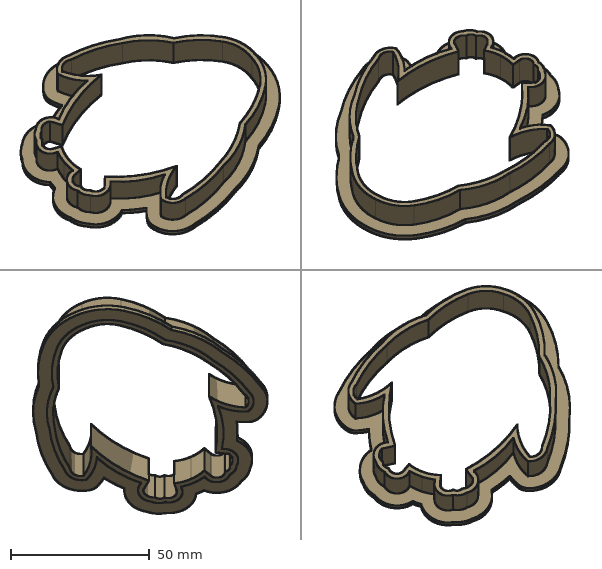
import cadquery as cq

TOTAL_HEIGHT = 12.7
FLANGE_THICKNESS = 2.1
BLADE_WIDTH = 2.1
FLANGE_WIDTH = 5.0

HEAD_TOP = (0, 44.1)
CROWN_MIDDLE = (-7.9, 42.5)
CROWN_END = (-13.2, 39.0)
SHOULDER = (-23.0, 23.7)
WING_UPPER_MIDDLE = (-29.2, 16.9)
WING_UPPER_END = (-33.6, 7.1)
WING_LOWER_MIDDLE = (-36.9, -3.5)
WING_WIDEST = (-37.9, -12.4)
WING_TIP_MIDDLE = (-36.5, -17.9)
WING_BOTTOM = (-33.3, -19.9)
WING_RETURN_MIDDLE = (-28.4, -16.8)
WING_NOTCH = (-24.9, -12.7)
LEG_MIDDLE = (-21.4, -23.1)
ANKLE = (-16.6, -30.7)
OUTER_TOE_MIDDLE = (-19.8, -35.3)
OUTER_TOE_END = (-17.6, -40.1)
CENTER_TOE_MIDDLE = (-15.8, -41.8)
CENTER_TOE_END = (-13.3, -42.7)
INNER_TOE_MIDDLE = (-9.6, -44.1)
CROTCH = (-4.9, -39.2)
BELLY_MIDDLE = (-2.5, -39.6)
BELLY_BOTTOM = (0, -39.8)

INNER_HEAD_TOP = (0, HEAD_TOP[1] - BLADE_WIDTH)
INNER_CROWN_MIDDLE = (-7.0, 40.8)
INNER_CROWN_END = (-12.0, 37.3)
INNER_SHOULDER = (-21.4, 22.3)
INNER_WING_UPPER_MIDDLE = (-27.0, 16.0)
INNER_WING_UPPER_END = (-31.5, 7.1)
INNER_WING_LOWER_MIDDLE = (-34.9, -3.5)
INNER_WING_WIDEST = (WING_WIDEST[0] + BLADE_WIDTH, WING_WIDEST[1])
INNER_WING_TIP_MIDDLE = (-35.3, -16.6)
INNER_WING_BOTTOM = (WING_BOTTOM[0], WING_BOTTOM[1] + BLADE_WIDTH)
INNER_WING_RETURN_MIDDLE = (-28.4, -13.75)
WING_SPIKE = (-24.3, -7.0)
INNER_LEG_MIDDLE = (-20.5, -19.5)
ANKLE_SPIKE = (-13.7, -31.1)
INNER_HEEL = (-17.6, -34.0)
OUTER_TOE_HOLLOW = (-17.9, -35.7)
OUTER_TOE_CUSP = (-15.4, -39.0)
CENTER_TOE_HOLLOW = (-14.1, -40.5)
CENTER_TOE_CUSP = (-12.5, -40.7)
INNER_TOE_HOLLOW = (-9.8, INNER_TOE_MIDDLE[1] + BLADE_WIDTH)
INNER_TOE_HOLLOW_END = (-7.0, -39.6)
CROTCH_SPIKE = (-6.2, -36.5)
INNER_BELLY_MIDDLE = (-3.2, -37.4)
INNER_BELLY_BOTTOM = (0, BELLY_BOTTOM[1] + BLADE_WIDTH)


def penguin_outline():
    """Closed outer outline of the blade, drawn as its left half and mirrored."""
    return (
        cq.Workplane("XY")
        .moveTo(*HEAD_TOP)
        .threePointArc(CROWN_MIDDLE, CROWN_END)
        .tangentArcPoint(SHOULDER, relative=False)
        .threePointArc(WING_UPPER_MIDDLE, WING_UPPER_END)
        .threePointArc(WING_LOWER_MIDDLE, WING_WIDEST)
        .threePointArc(WING_TIP_MIDDLE, WING_BOTTOM)
        .threePointArc(WING_RETURN_MIDDLE, WING_NOTCH)
        .threePointArc(LEG_MIDDLE, ANKLE)
        .threePointArc(OUTER_TOE_MIDDLE, OUTER_TOE_END)
        .threePointArc(CENTER_TOE_MIDDLE, CENTER_TOE_END)
        .threePointArc(INNER_TOE_MIDDLE, CROTCH)
        .threePointArc(BELLY_MIDDLE, BELLY_BOTTOM)
        .mirrorY()
    )


def penguin_opening():
    """Closed inner outline of the blade, drawn as its left half and mirrored."""
    return (
        cq.Workplane("XY")
        .moveTo(*INNER_HEAD_TOP)
        .threePointArc(INNER_CROWN_MIDDLE, INNER_CROWN_END)
        .tangentArcPoint(INNER_SHOULDER, relative=False)
        .threePointArc(INNER_WING_UPPER_MIDDLE, INNER_WING_UPPER_END)
        .threePointArc(INNER_WING_LOWER_MIDDLE, INNER_WING_WIDEST)
        .threePointArc(INNER_WING_TIP_MIDDLE, INNER_WING_BOTTOM)
        .threePointArc(INNER_WING_RETURN_MIDDLE, WING_SPIKE)
        .threePointArc(INNER_LEG_MIDDLE, ANKLE_SPIKE)
        .lineTo(*INNER_HEEL)
        .threePointArc(OUTER_TOE_HOLLOW, OUTER_TOE_CUSP)
        .threePointArc(CENTER_TOE_HOLLOW, CENTER_TOE_CUSP)
        .threePointArc(INNER_TOE_HOLLOW, INNER_TOE_HOLLOW_END)
        .lineTo(*CROTCH_SPIKE)
        .threePointArc(INNER_BELLY_MIDDLE, INNER_BELLY_BOTTOM)
        .mirrorY()
    )


def make_blade():
    """Full-height cutting wall; its inner corners are left sharp."""
    outside = penguin_outline().extrude(TOTAL_HEIGHT)
    inside = penguin_opening().extrude(TOTAL_HEIGHT)
    return outside.cut(inside)


def make_flange():
    """Flat ring around the foot of the blade."""
    outside = penguin_outline().offset2D(FLANGE_WIDTH).extrude(FLANGE_THICKNESS)
    opening = penguin_outline().extrude(FLANGE_THICKNESS)
    return outside.cut(opening)


blade = make_blade()
flange = make_flange()

result = cq.Compound.makeCompound([blade.val(), flange.val()])